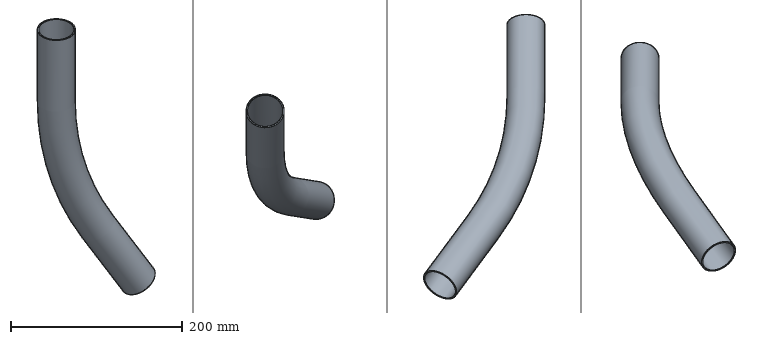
import cadquery as cq
import math

overall_height = 391.2
outer_diameter = 44.5
inner_diameter = 41.0
straight_length = 101.7
bend_angle = 30.0

bend_radians = math.radians(bend_angle)
sine = math.sin(bend_radians)
cosine = math.cos(bend_radians)
rim_drop = outer_diameter / 2 * sine
bend_height = overall_height - straight_length * (1 + cosine) - rim_drop
bend_radius = bend_height / sine


def arc_point(angle):
    """Centreline point (Y, Z) at an angle into the bend."""
    y = bend_radius * (1 - math.cos(angle))
    z = -straight_length - bend_radius * math.sin(angle)
    return y, z


bend_end = arc_point(bend_radians)
tube_end = (
    bend_end[0] + straight_length * sine,
    bend_end[1] - straight_length * cosine,
)
centreline = (
    cq.Workplane("YZ")
    .moveTo(0, 0)
    .lineTo(*arc_point(0))
    .threePointArc(arc_point(bend_radians / 2), bend_end)
    .lineTo(*tube_end)
)

result = (
    cq.Workplane("XY")
    .circle(outer_diameter / 2)
    .circle(inner_diameter / 2)
    .sweep(centreline)
)